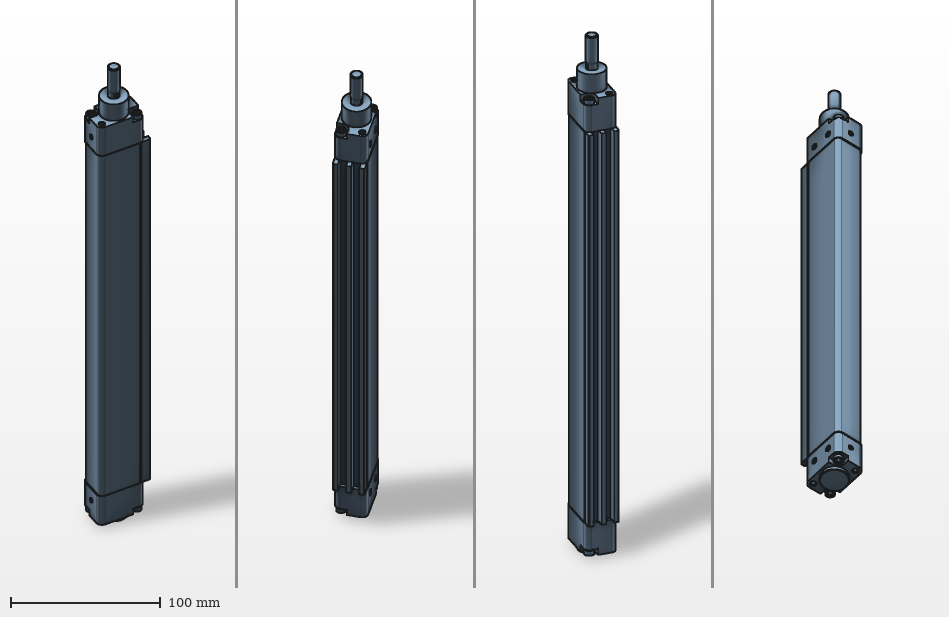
import cadquery as cq

TOTAL_LENGTH = 381.5
TOTAL_DEPTH = 39.5
REAR_BOSS_HEIGHT = 3.0
CAP_HEIGHT = 24.5
REAR_CAP_BASE = REAR_BOSS_HEIGHT
REAR_CAP_TOP = REAR_CAP_BASE + CAP_HEIGHT
FRONT_CAP_TOP = 342.5
FRONT_CAP_BASE = FRONT_CAP_TOP - CAP_HEIGHT
FRONT_BOSS_HEIGHT = 14.0
FRONT_BOSS_TOP = FRONT_CAP_TOP + FRONT_BOSS_HEIGHT

CAP_WIDTH = 23.0
CAP_DEPTH = 35.0
CAP_CORNER_RADIUS = 4.2
BOSS_DIAMETER = 20.0
REAR_BOSS_CHAMFER = 0.5

BARREL_WIDTH = 22.0
BARREL_FRONT_Y = -16.8
BARREL_CORNER_RADIUS = 3.5
RAIL_TOP_Y = TOTAL_DEPTH - CAP_DEPTH / 2
RAIL_TIP_CHAMFER = 0.8
RAIL_SLOT_FLOOR_Y = 15.0
RAIL_SLOT_WIDTH = 5.7
RAIL_SLOT_X = 4.5
FLANK_GROOVE_Y = 14.5
FLANK_GROOVE_WIDTH = 1.0
FLANK_GROOVE_DEPTH = 0.5

SCREW_X = 7.2
SCREW_Y = 13.5
HEAD_DIAMETER = 7.0
HEAD_HEIGHT = 3.5
HEAD_NECK_DIAMETER = 5.5
POCKET_DEPTH = 4.5
FRONT_HEAD_TOP = FRONT_CAP_TOP - POCKET_DEPTH + HEAD_HEIGHT
POCKET_CLEARANCE = 1.5
POCKET_REACH = HEAD_DIAMETER / 2 + POCKET_CLEARANCE
CORNER_HOLE_DIAMETER = 4.5

PORT_Z_FROM_BARREL = 10.0
FRONT_PORT_DIAMETER = 4.0
SIDE_PORT_DIAMETER = 4.5
SIDE_PORT_Y = 7.2

HOLE_DEPTH = 4.5
HOLE_CHAMFER = 0.8

ROD_DIAMETER = 8.0
ROD_BASE = FRONT_CAP_BASE
FLATS_WIDTH = 7.0
FLATS_BASE = 358.0
FLATS_TOP = 360.0
THREAD_DIAMETER = 8.5
THREAD_BASE = 361.3
THREAD_RUNOUT = 1.0
THREAD_TIP_CHAMFER = 0.8


def disc(diameter, base, top):
    return cq.Workplane("XY").workplane(offset=base).circle(diameter / 2).extrude(top - base)


def block(width, depth, height, base_centre):
    return cq.Workplane("XY", origin=base_centre).rect(width, depth).extrude(height)


def make_cap(base):
    return block(CAP_WIDTH, CAP_DEPTH, CAP_HEIGHT, (0, 0, base)).edges("|Z").fillet(CAP_CORNER_RADIUS)


def make_barrel():
    """Rounded profile with two open slots in its +Y rail and a shallow groove along each flank."""
    length = FRONT_CAP_BASE - REAR_CAP_TOP
    depth = RAIL_TOP_Y - BARREL_FRONT_Y
    barrel = block(BARREL_WIDTH, depth, length, (0, BARREL_FRONT_Y + depth / 2, REAR_CAP_TOP))
    barrel = barrel.edges("|Z and <Y").fillet(BARREL_CORNER_RADIUS)
    barrel = barrel.edges("|Z and >Y").chamfer(RAIL_TIP_CHAMFER)
    slot_depth = RAIL_TOP_Y - RAIL_SLOT_FLOOR_Y
    slot_y = RAIL_SLOT_FLOOR_Y + slot_depth / 2
    for side in (-1, 1):
        slot_base = (side * RAIL_SLOT_X, slot_y, REAR_CAP_TOP)
        slot = block(RAIL_SLOT_WIDTH, slot_depth, length, slot_base)
        groove_base = (side * BARREL_WIDTH / 2, FLANK_GROOVE_Y, REAR_CAP_TOP)
        groove = block(2 * FLANK_GROOVE_DEPTH, FLANK_GROOVE_WIDTH, length, groove_base)
        barrel = barrel.cut(slot).cut(groove)
    return barrel


def countersunk_hole(mouth, inward, diameter):
    """Tool for a blind hole whose mouth has the given diameter and narrows by a chamfer."""
    bore_radius = diameter / 2 - HOLE_CHAMFER
    bore = cq.Solid.makeCylinder(bore_radius, HOLE_DEPTH, mouth, inward)
    countersink = cq.Solid.makeCone(diameter / 2, bore_radius, HOLE_CHAMFER, mouth, inward)
    return cq.Workplane(bore).union(cq.Workplane(countersink))


def make_pocket(side, base):
    """Corner pocket with a rounded inner corner, open to the two outer cap walls."""
    inner_x = SCREW_X - POCKET_REACH
    inner_y = SCREW_Y - POCKET_REACH
    width = CAP_WIDTH / 2 - inner_x
    depth = CAP_DEPTH / 2 - inner_y
    centre = (side * (inner_x + width / 2), side * (inner_y + depth / 2), base)
    pocket = block(width, depth, POCKET_DEPTH, centre)
    inner_corner = cq.selectors.NearestToPointSelector((0, 0, base + POCKET_DEPTH / 2))
    return pocket.edges("|Z").edges(inner_corner).fillet(POCKET_REACH)


def add_screw_heads(housing, pocket_base, sections):
    """Cut a pocket at two opposite cap corners and stand a screw head, built from discs, in each."""
    for side in (-1, 1):
        housing = housing.cut(make_pocket(side, pocket_base))
        for diameter, base, top in sections:
            housing = housing.union(disc(diameter, base, top).translate((side * SCREW_X, side * SCREW_Y, 0)))
    return housing


def add_front_screw_heads(housing):
    """Heads that stand on the pocket floor and end just below the cap face."""
    floor = FRONT_CAP_TOP - POCKET_DEPTH
    return add_screw_heads(housing, floor, [(HEAD_DIAMETER, floor, FRONT_HEAD_TOP)])


def add_rear_screw_heads(housing):
    """Heads flush with the cap face, joined to the pocket floor by a narrower neck."""
    floor = REAR_CAP_BASE + POCKET_DEPTH
    head_top = REAR_CAP_BASE + HEAD_HEIGHT
    sections = [(HEAD_DIAMETER, REAR_CAP_BASE, head_top), (HEAD_NECK_DIAMETER, head_top, floor)]
    return add_screw_heads(housing, REAR_CAP_BASE, sections)


def cut_corner_holes(housing, cap_z, head_z, z_inward):
    """Sink a hole at each corner of one cap end, into the cap or into the screw head there."""
    for x in (-SCREW_X, SCREW_X):
        for y in (-SCREW_Y, SCREW_Y):
            mouth_z = head_z if x * y > 0 else cap_z
            mouth = cq.Vector(x, y, mouth_z)
            housing = housing.cut(countersunk_hole(mouth, cq.Vector(0, 0, z_inward), CORNER_HOLE_DIAMETER))
    return housing


def cut_ports(housing, port_z):
    """Sink one port into the -Y wall and two into the -X wall of a cap."""
    front_mouth = cq.Vector(0, -CAP_DEPTH / 2, port_z)
    housing = housing.cut(countersunk_hole(front_mouth, cq.Vector(0, 1, 0), FRONT_PORT_DIAMETER))
    for y in (-SIDE_PORT_Y, SIDE_PORT_Y):
        side_mouth = cq.Vector(-CAP_WIDTH / 2, y, port_z)
        housing = housing.cut(countersunk_hole(side_mouth, cq.Vector(1, 0, 0), SIDE_PORT_DIAMETER))
    return housing


def make_housing():
    rear_boss = disc(BOSS_DIAMETER, 0, REAR_CAP_BASE).faces("<Z").chamfer(REAR_BOSS_CHAMFER)
    front_boss = disc(BOSS_DIAMETER, FRONT_CAP_TOP, FRONT_BOSS_TOP)
    housing = make_barrel().union(make_cap(REAR_CAP_BASE)).union(make_cap(FRONT_CAP_BASE))
    housing = housing.union(rear_boss).union(front_boss)
    housing = add_front_screw_heads(housing)
    housing = add_rear_screw_heads(housing)
    housing = cut_corner_holes(housing, FRONT_CAP_TOP, FRONT_HEAD_TOP, -1)
    housing = cut_corner_holes(housing, REAR_CAP_BASE, REAR_CAP_BASE, 1)
    housing = cut_ports(housing, FRONT_CAP_BASE + PORT_Z_FROM_BARREL)
    housing = cut_ports(housing, REAR_CAP_TOP - PORT_Z_FROM_BARREL)
    return housing.cut(disc(ROD_DIAMETER, ROD_BASE, FRONT_BOSS_TOP))


def make_thread():
    """Plain cylinder at the thread's outer diameter, tapering down to the rod at its lower end."""
    taper = (THREAD_DIAMETER - ROD_DIAMETER) / 2
    thread = disc(THREAD_DIAMETER, THREAD_BASE, TOTAL_LENGTH)
    thread = thread.faces("<Z").edges().chamfer(THREAD_RUNOUT, taper)
    return thread.faces(">Z").edges().chamfer(THREAD_TIP_CHAMFER)


def make_rod():
    shank = disc(ROD_DIAMETER, ROD_BASE, THREAD_BASE)
    flats_zone = disc(ROD_DIAMETER, FLATS_BASE, FLATS_TOP)
    between_flats = block(FLATS_WIDTH, ROD_DIAMETER, FLATS_TOP - FLATS_BASE, (0, 0, FLATS_BASE))
    return shank.cut(flats_zone.cut(between_flats)).union(make_thread())


housing = make_housing()
rod = make_rod()
result = cq.Compound.makeCompound([housing.val(), rod.val()])